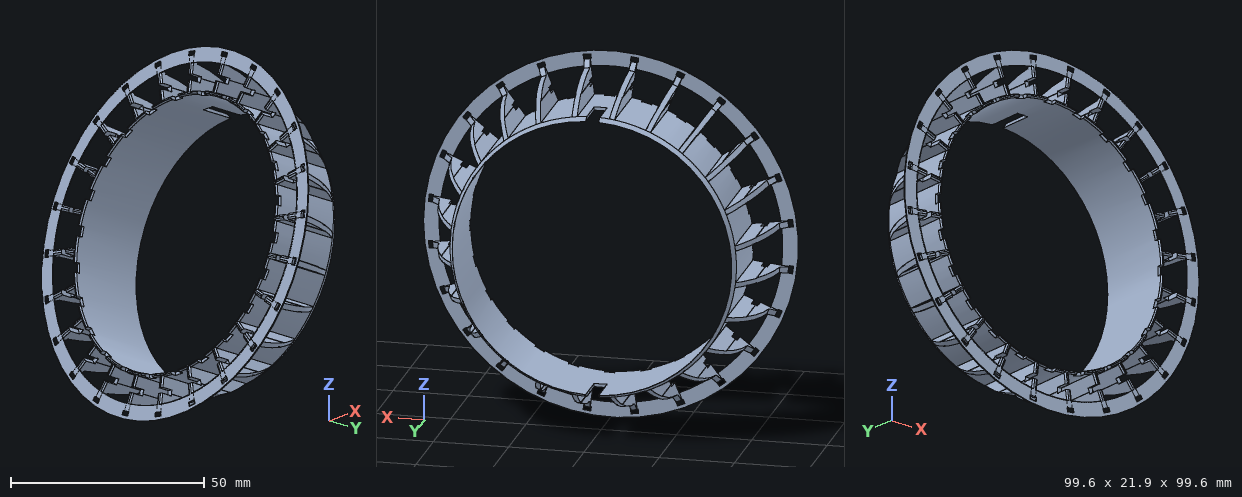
import cadquery as cq

flange_radius = 49.8
flange_inner_radius = 45.6
flange_thickness = 0.3
height = 21.9

tube_inner_radius = 74.2 / 2
tube_radius = 38.1
rim_chamfer_radial = 0.9
rim_chamfer_height = 1.5
key_slot_width = 3.4
key_slot_depth = 10.0

rib_count = 24
pitch_angle = 360 / rib_count
window_width = 2.7
window_height = 1.6
flange_slot_width = 2.0
flange_slot_length = 1.1
flange_slot_radius = 48.2

inner_web_thickness = 1.4
outer_web_thickness = 1.6
web_step_radius = 42.1
rib_bulge_radius = 42.9
rib_bulge_height = 12.2
foot_height = 2.0
foot_radius = 48.3
rib_slot_inner_radius = 41.0
rib_slot_outer_radius = 42.6
rib_slot_height = 3.5

bevel_width = 0.3
bevel_height = 0.5

tube_middle_radius = (tube_inner_radius + tube_radius) / 2
rib_top = height - rim_chamfer_height
cut_clearance = 1.0


def ring(outer_radius, inner_radius, depth):
    """Ring around the Y axis standing on Y = 0."""
    profile = cq.Workplane("XZ").circle(outer_radius).circle(inner_radius)
    return profile.extrude(-depth)


def block(inner_radius, outer_radius, bottom, top, width):
    """Block along +X between two radii and two Y levels, centred on Z = 0."""
    size = (outer_radius - inner_radius, top - bottom, width)
    corner_block = cq.Workplane("XY").box(*size, centered=(False, False, True))
    return corner_block.translate((inner_radius, bottom, 0))


def around_axis(shape, first_angle, count):
    """Compound of copies of a shape spaced evenly around the Y axis."""
    angles = [first_angle + index * 360 / count for index in range(count)]
    copies = [shape.rotate((0, 0, 0), (0, 1, 0), angle).val() for angle in angles]
    return cq.Workplane(cq.Compound.makeCompound(copies))


def make_tube():
    profile = (
        cq.Workplane("XY")
        .moveTo(tube_inner_radius, bevel_height)
        .lineTo(tube_inner_radius + bevel_width, 0)
        .lineTo(tube_radius - bevel_width, 0)
        .lineTo(tube_radius, bevel_height)
        .lineTo(tube_radius, rib_top)
        .lineTo(tube_radius - rim_chamfer_radial, height)
        .lineTo(tube_inner_radius, height)
        .close()
    )
    tube = profile.revolve(360, (0, 0, 0), (0, 1, 0))

    cut_start = tube_inner_radius - cut_clearance
    cut_end = tube_radius + cut_clearance
    window = block(cut_start, cut_end, 0, window_height, window_width)
    key_slot = block(cut_start, cut_end, height - key_slot_depth, height, key_slot_width)
    windows = around_axis(window, 0, rib_count)
    key_slots = around_axis(key_slot, 90, 2)
    return tube.cut(windows).cut(key_slots)


def rib_web(thickness):
    """Full rib outline at one thickness, bevelled along its lower edges."""
    outline = (
        cq.Workplane("XY")
        .moveTo(tube_middle_radius, 0)
        .lineTo(flange_inner_radius, 0)
        .lineTo(flange_inner_radius, flange_thickness)
        .lineTo(foot_radius, flange_thickness)
        .lineTo(flange_inner_radius, foot_height)
        .threePointArc((rib_bulge_radius, rib_bulge_height), (tube_radius, rib_top))
        .lineTo(tube_middle_radius, rib_top)
        .close()
    )
    web = outline.extrude(thickness / 2, both=True)
    long_bottom_edges = web.faces("<Y").edges("|X")
    return long_bottom_edges.chamfer(bevel_height, bevel_width)


def make_rib():
    inner = rib_web(inner_web_thickness)
    outer = rib_web(outer_web_thickness).intersect(
        block(web_step_radius, flange_radius, 0, height, outer_web_thickness)
    )
    slot = block(
        rib_slot_inner_radius, rib_slot_outer_radius, 0, rib_slot_height, 2 * outer_web_thickness
    )
    return inner.union(outer).cut(slot)


def make_flange_slots():
    slot = block(
        flange_slot_radius - flange_slot_length / 2,
        flange_slot_radius + flange_slot_length / 2,
        0,
        foot_height,
        flange_slot_width,
    )
    return around_axis(slot, pitch_angle / 2, rib_count)


flange = ring(flange_radius, flange_inner_radius, flange_thickness)
ribs = around_axis(make_rib(), pitch_angle / 2, rib_count)
body = make_tube().union(ribs).union(flange).cut(make_flange_slots())
result = body.solids()